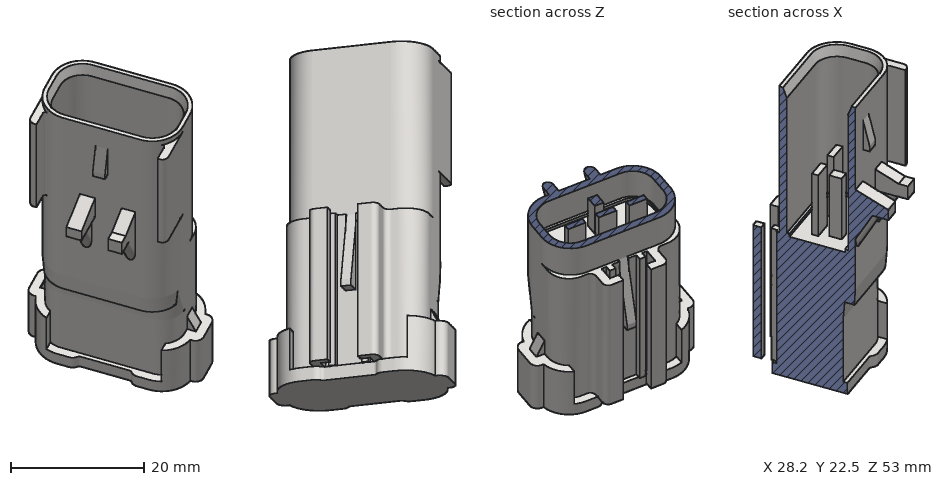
import cadquery as cq
import math

TOTAL_HEIGHT = 53.0
FOOT_HEIGHT = 2.1
FLANGE_HEIGHT = 8.7
BODY_HEIGHT = 26.25
NECK_BOTTOM = 13.7
SKIRT_BOTTOM = 16.7
SKIRT_TOP = 19.7

TUBE_WIDTH = 22.3
TUBE_DEPTH = 12.75
TUBE_RADIUS = 4.95
HALF_WIDTH = TUBE_WIDTH / 2
HALF_DEPTH = TUBE_DEPTH / 2

RIM_WALL = 0.7
LEAD_IN_INSET = 0.65
LEAD_IN_DEPTH = 1.75
CAVITY_FLOOR = 26.5
FLOOR_HALF_WIDTH = 9.65
FLOOR_HALF_DEPTH = 4.6
FLOOR_RADIUS = 3.2
FLOOR_RECESS = 0.55

BLADE_TOP = 37.1
BLADE_WIDTH = 3.1
BLADE_THICKNESS = 1.05
BLADE_SPACING = 5.3
BLADE_Y = 1.3
KEY_WIDTH = 1.6
KEY_DEPTH = 2.05
KEY_Y = -1.7

BODY_FRONT = -4.35
BODY_REAR = 6.85
BODY_RADIUS = 3.7
NECK_GROWTH = 0.5
SKIRT_INSET = 0.2
SKIRT_SIDE_Y = -2.95

FLANGE_OFFSET = 1.45
FLANGE_GAP_HALF = 9.3
RELIEF_HALF = 5.45
RELIEF_DEPTH = 0.75
RELIEF_BEND_HALF = 4.4
RELIEF_FLOOR_HALF = 3.9

LUG_REACH = 14.1
LUG_WIDTH = 5.95
LUG_RADIUS = 1.3
RAMP_REACH = 1.45
RAMP_HEIGHT = 2.65
RAMP_WIDTH = 2.05
LUG_Y = (BODY_FRONT + BODY_REAR) / 2

RAIL_HALF = 5.45
RAIL_WALL = 1.55
RAIL_REAR = 10.7
RAIL_LIP_INNER = 2.4
RAIL_LIP_THICKNESS = 1.4
RAIL_RADIUS = 1.0

RIB_X = 2.6
RIB_WIDTH = 1.0
RIB_REACH = 1.0
CATCH_WIDTH = 1.6
CATCH_REAR = 9.05
CATCH_DROP = 11.15
CATCH_LIP = 1.0

WING_BOTTOM = 34.45
WING_TOP = 52.0
WING_THICKNESS = 1.4
WING_FRONT = -8.2
WING_RADIUS = 1.0
WING_ROOT_RADIUS = 0.3

LATCH_REACH = 11.8
LATCH_TIP_Z = 35.95
STRUT_BOTTOM = 27.05
STRUT_FRONT = -10.2
LEFT_LATCH_X = (-3.5, -1.05)
LEFT_STRUT_X = (-3.5, -1.6)
LEFT_ROOT_Z = 37.95
LEFT_BOTTOM_Z = 33.95
RIGHT_LATCH_X = (3.25, 5.45)
RIGHT_STRUT_X = (3.7, 5.45)
RIGHT_ROOT_Z = 37.4
RIGHT_BOTTOM_Z = 33.55
RIGHT_TIP_LENGTH = 1.55

KEY_RAMP_WIDTH = 1.95
KEY_RAMP_TOP = 49.0
KEY_RAMP_KNEE = 44.7
KEY_RAMP_BOTTOM = 43.65
KEY_RAMP_FRONT = -7.45

EMBED = 0.25


def box(x0, x1, y0, y1, z0, z1):
    return cq.Workplane("XY").box(x1 - x0, y1 - y0, z1 - z0, centered=False).translate((x0, y0, z0))


def rounded_block(half_width, front, rear, radius, z0, z1):
    block = box(-half_width, half_width, front, rear, z0, z1)
    return block.edges("|Z").fillet(radius)


def rounded_sketch(half_width, front, rear, radius):
    sketch = cq.Sketch().rect(2 * half_width, rear - front).vertices().fillet(radius)
    return sketch.moved(cq.Location(cq.Vector(0, (front + rear) / 2, 0)))


def tapered_block(lower, upper, z0, z1):
    """Ruled solid between two rounded outlines (half width, front, rear, radius)."""
    return (
        cq.Workplane("XY", origin=(0, 0, z0))
        .placeSketch(
            rounded_sketch(*lower),
            rounded_sketch(*upper).moved(cq.Location(cq.Vector(0, 0, z1 - z0))),
        )
        .loft(ruled=True)
    )


def side_profile(points, x0, x1):
    """Extrude a (Y, Z) outline from x0 to x1."""
    return cq.Workplane("YZ", origin=(x0, 0, 0)).polyline(points).close().extrude(x1 - x0)


def mirrored_pair(solid):
    return solid.union(solid.mirror("YZ"))


def tube_outline(inset):
    return (HALF_WIDTH - inset, -HALF_DEPTH + inset, HALF_DEPTH - inset, TUBE_RADIUS - inset)


def body_outline(growth):
    return (HALF_WIDTH + growth, BODY_FRONT - growth, BODY_REAR + growth, BODY_RADIUS + growth)


def make_tube():
    tube = rounded_block(*tube_outline(0), SKIRT_TOP, TOTAL_HEIGHT)
    skirt = tapered_block(tube_outline(SKIRT_INSET), tube_outline(0), SKIRT_BOTTOM, SKIRT_TOP)
    front = box(-HALF_WIDTH, HALF_WIDTH, -HALF_DEPTH, SKIRT_SIDE_Y, SKIRT_BOTTOM, SKIRT_TOP)
    return tube.union(skirt.intersect(front))


def make_body():
    lower = rounded_block(*body_outline(0), 0, NECK_BOTTOM)
    neck = tapered_block(body_outline(0), body_outline(NECK_GROWTH), NECK_BOTTOM, SKIRT_TOP)
    neck = neck.intersect(rounded_block(*tube_outline(0), NECK_BOTTOM, SKIRT_TOP))
    rear = rounded_block(*body_outline(0), NECK_BOTTOM, BODY_HEIGHT)
    rear = rear.intersect(box(-HALF_WIDTH, HALF_WIDTH, 0, BODY_REAR, NECK_BOTTOM, BODY_HEIGHT))
    return lower.union(neck).union(rear)


def make_front_relief(front):
    """Shallow recess whose ends blend into the front face with S-curves."""
    bend = 2 * math.atan2(RELIEF_DEPTH, RELIEF_HALF - RELIEF_FLOOR_HALF)
    outer_radius = (RELIEF_HALF - RELIEF_BEND_HALF) / math.sin(bend)
    inner_radius = (RELIEF_BEND_HALF - RELIEF_FLOOR_HALF) / math.sin(bend)
    bend_y = front + outer_radius * (1 - math.cos(bend))
    floor_y = front + RELIEF_DEPTH
    return (
        cq.Workplane("XY")
        .moveTo(-RELIEF_HALF, front)
        .radiusArc((-RELIEF_BEND_HALF, bend_y), -outer_radius)
        .radiusArc((-RELIEF_FLOOR_HALF, floor_y), inner_radius)
        .lineTo(RELIEF_FLOOR_HALF, floor_y)
        .radiusArc((RELIEF_BEND_HALF, bend_y), inner_radius)
        .radiusArc((RELIEF_HALF, front), -outer_radius)
        .close()
        .extrude(FOOT_HEIGHT)
    )


def make_flange():
    half_width = HALF_WIDTH + FLANGE_OFFSET
    front = BODY_FRONT - FLANGE_OFFSET
    rear = BODY_REAR + FLANGE_OFFSET
    flange = rounded_block(half_width, front, rear, BODY_RADIUS + FLANGE_OFFSET, 0, FLANGE_HEIGHT)
    flange = flange.cut(
        box(-FLANGE_GAP_HALF, FLANGE_GAP_HALF, front, rear, FOOT_HEIGHT, FLANGE_HEIGHT)
    )
    relief = make_front_relief(front)
    flange = flange.cut(relief).cut(relief.mirror("XZ", (0, LUG_Y, 0)))
    lugs = rounded_block(
        LUG_REACH, LUG_Y - LUG_WIDTH / 2, LUG_Y + LUG_WIDTH / 2, LUG_RADIUS, 0, FLANGE_HEIGHT
    )
    return flange.union(lugs)


def make_lug_ramps():
    ramp = (
        cq.Workplane("XZ", origin=(0, LUG_Y + RAMP_WIDTH / 2, 0))
        .polyline([
            (HALF_WIDTH - EMBED, FLANGE_HEIGHT),
            (HALF_WIDTH + RAMP_REACH, FLANGE_HEIGHT),
            (HALF_WIDTH, FLANGE_HEIGHT + RAMP_HEIGHT),
            (HALF_WIDTH - EMBED, FLANGE_HEIGHT + RAMP_HEIGHT),
        ])
        .close()
        .extrude(RAMP_WIDTH)
    )
    return mirrored_pair(ramp)


def make_rails():
    inner = RAIL_HALF - RAIL_WALL
    root_y = BODY_REAR - EMBED
    height = BODY_HEIGHT - FOOT_HEIGHT
    rail = (
        cq.Workplane("XY", origin=(0, 0, FOOT_HEIGHT))
        .moveTo(inner, root_y)
        .lineTo(inner, RAIL_REAR - RAIL_LIP_THICKNESS)
        .lineTo(RAIL_LIP_INNER, RAIL_REAR - RAIL_LIP_THICKNESS)
        .lineTo(RAIL_LIP_INNER, RAIL_REAR)
        .lineTo(RAIL_HALF - RAIL_RADIUS, RAIL_REAR)
        .radiusArc((RAIL_HALF, RAIL_REAR - RAIL_RADIUS), RAIL_RADIUS)
        .lineTo(RAIL_HALF, BODY_REAR + RAIL_RADIUS)
        .radiusArc((RAIL_HALF + RAIL_RADIUS, BODY_REAR), -RAIL_RADIUS)
        .lineTo(RAIL_HALF + RAIL_RADIUS, root_y)
        .close()
        .extrude(height)
    )
    rib_left = RIB_X - RIB_WIDTH / 2
    rib_rear = BODY_REAR + RIB_REACH
    rib = box(rib_left, rib_left + RIB_WIDTH, root_y, rib_rear, FOOT_HEIGHT, BODY_HEIGHT)
    return mirrored_pair(rail.union(rib))


def make_catch():
    catch = [
        (BODY_REAR - EMBED, BODY_HEIGHT - CATCH_DROP - CATCH_LIP),
        (CATCH_REAR, BODY_HEIGHT - CATCH_DROP - CATCH_LIP),
        (CATCH_REAR, BODY_HEIGHT - CATCH_DROP),
        (HALF_DEPTH, BODY_HEIGHT),
        (HALF_DEPTH - EMBED, BODY_HEIGHT),
    ]
    return side_profile(catch, -CATCH_WIDTH / 2, CATCH_WIDTH / 2)


def make_catch_clearance():
    """Continues the slope of the catch through the top edge of the body."""
    clearance = [
        (HALF_DEPTH, BODY_HEIGHT),
        (CATCH_REAR, BODY_HEIGHT - CATCH_DROP),
        (CATCH_REAR, BODY_HEIGHT),
    ]
    return side_profile(clearance, -CATCH_WIDTH / 2, CATCH_WIDTH / 2)


def make_wings():
    inner = HALF_WIDTH - WING_THICKNESS
    wing = box(inner, HALF_WIDTH, WING_FRONT, -HALF_DEPTH + TUBE_RADIUS, WING_BOTTOM, WING_TOP)
    wing = wing.edges("|Z and <Y and >X").fillet(WING_RADIUS)
    corner_x = HALF_WIDTH - TUBE_RADIUS
    corner_y = -HALF_DEPTH + TUBE_RADIUS
    centre_x = inner - WING_ROOT_RADIUS
    reach = TUBE_RADIUS + WING_ROOT_RADIUS
    centre_y = corner_y - math.sqrt(reach**2 - (centre_x - corner_x) ** 2)
    touch_x = corner_x + (centre_x - corner_x) * TUBE_RADIUS / reach
    touch_y = corner_y + (centre_y - corner_y) * TUBE_RADIUS / reach
    root = (
        cq.Workplane("XY", origin=(0, 0, WING_BOTTOM))
        .moveTo(inner, centre_y)
        .radiusArc((touch_x, touch_y), -WING_ROOT_RADIUS)
        .lineTo(touch_x, corner_y)
        .lineTo(inner, corner_y)
        .close()
        .extrude(WING_TOP - WING_BOTTOM)
    )
    wing = wing.union(root)
    return mirrored_pair(wing)


def make_latch(x0, x1, strut_x0, strut_x1, root_z, bottom_z, tip_length):
    """Sloped block on the front wall with a round-edged strut below it."""
    wall = -HALF_DEPTH
    block = [(wall + EMBED, bottom_z), (-LATCH_REACH, bottom_z), (-LATCH_REACH, LATCH_TIP_Z)]
    if tip_length > 0:
        block.append((-LATCH_REACH + tip_length, LATCH_TIP_Z))
    block += [(wall, root_z), (wall + EMBED, root_z)]
    radius = (strut_x1 - strut_x0) / 2
    run = STRUT_FRONT - wall
    rise = bottom_z - STRUT_BOTTOM
    length = math.hypot(run, rise)
    axis_z = STRUT_BOTTOM + radius * length / abs(run)
    axis_front = wall + run * (bottom_z - axis_z) / rise
    web = [
        (wall, axis_z),
        (axis_front, bottom_z),
        (wall + EMBED, bottom_z),
        (wall + EMBED, axis_z),
    ]
    direction = cq.Vector(0, run / length, rise / length)
    start = cq.Vector((strut_x0 + strut_x1) / 2, wall, axis_z) - direction * (2 * radius)
    rod = cq.Workplane(cq.Solid.makeCylinder(radius, length + 2 * radius, start, direction))
    rod = rod.intersect(box(strut_x0, strut_x1, -LATCH_REACH, wall + EMBED, 0, bottom_z))
    strut = side_profile(web, strut_x0, strut_x1).union(rod)
    return side_profile(block, x0, x1).union(strut)


def make_key_ramp():
    profile = [
        (-HALF_DEPTH + EMBED, KEY_RAMP_BOTTOM),
        (KEY_RAMP_FRONT, KEY_RAMP_BOTTOM),
        (KEY_RAMP_FRONT, KEY_RAMP_KNEE),
        (-HALF_DEPTH, KEY_RAMP_TOP),
        (-HALF_DEPTH + EMBED, KEY_RAMP_TOP),
    ]
    return side_profile(profile, -KEY_RAMP_WIDTH / 2, KEY_RAMP_WIDTH / 2)


def make_cavity():
    wall = RIM_WALL + LEAD_IN_INSET
    lead_in_z = TOTAL_HEIGHT - LEAD_IN_DEPTH
    lead_in = tapered_block(tube_outline(wall), tube_outline(RIM_WALL), lead_in_z, TOTAL_HEIGHT)
    main = rounded_block(*tube_outline(wall), CAVITY_FLOOR, lead_in_z)
    floor_z = CAVITY_FLOOR - FLOOR_RECESS
    floor = rounded_block(
        FLOOR_HALF_WIDTH, -FLOOR_HALF_DEPTH, FLOOR_HALF_DEPTH, FLOOR_RADIUS, floor_z, CAVITY_FLOOR
    )
    return lead_in.union(main).union(floor)


def make_blades():
    floor = CAVITY_FLOOR - FLOOR_RECESS - EMBED
    blades = cq.Workplane("XY", origin=(0, 0, floor))
    height = BLADE_TOP - floor
    wide = blades.pushPoints([(i * BLADE_SPACING, BLADE_Y) for i in (-1, 0, 1)])
    wide = wide.rect(BLADE_WIDTH, BLADE_THICKNESS).extrude(height)
    return wide.union(blades.center(0, KEY_Y).rect(KEY_WIDTH, KEY_DEPTH).extrude(height))


result = make_tube().union(make_body()).union(make_flange()).union(make_lug_ramps())
result = result.union(make_rails()).cut(make_catch_clearance()).union(make_catch())
result = result.union(make_wings())
result = result.union(make_latch(*LEFT_LATCH_X, *LEFT_STRUT_X, LEFT_ROOT_Z, LEFT_BOTTOM_Z, 0))
result = result.union(
    make_latch(*RIGHT_LATCH_X, *RIGHT_STRUT_X, RIGHT_ROOT_Z, RIGHT_BOTTOM_Z, RIGHT_TIP_LENGTH)
)
result = result.union(make_key_ramp())
result = result.cut(make_cavity()).union(make_blades())